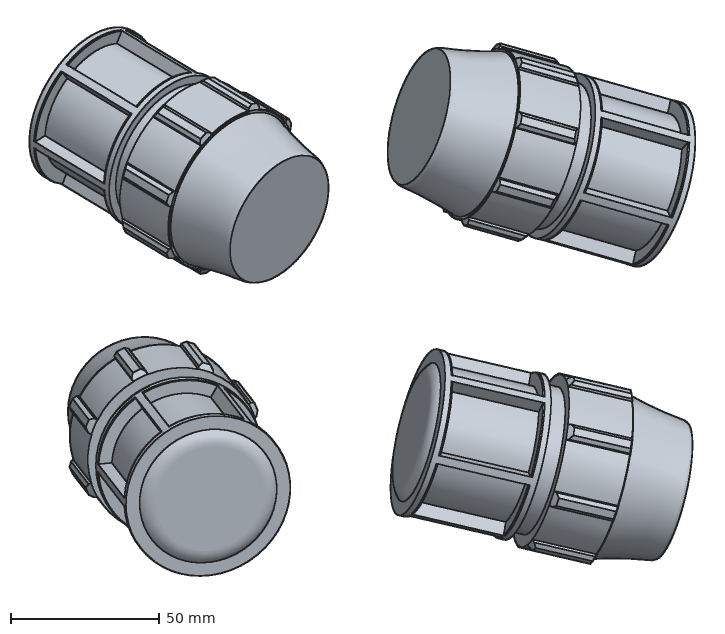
import cadquery as cq

LENGTH = 92.0

CAP_FACE_RADIUS = 18.95
BARREL_RADIUS = 24.0
FLANGE_RADIUS = 57.6 / 2
FLANGE_WIDTH = 2.8
BARREL_START = 2.2
BARREL_END = 39.9
FLANGE_CHAMFER_LENGTH = 0.55
FLANGE_CHAMFER_DEPTH = 0.2
NECK_RADIUS = 51.2 / 2
BARREL_RIB_COUNT = 6
BARREL_RIB_WIDTH = 2.9

NUT_START = 46.0
NUT_END = 69.0
NUT_RADIUS = 29.9
NUT_CHAMFER = 0.3
GRIP_RIB_COUNT = 8
GRIP_RIB_TOP_RADIUS = 32.0
GRIP_RIB_SHOULDER_RADIUS = 30.7
GRIP_RIB_TOP_WIDTH = 2.9
GRIP_RIB_WIDTH = 5.5
GRIP_RIB_FRONT_SLOPE = 1.8
GRIP_RIB_BACK_SLOPE = 0.8
GRIP_RIB_BASE_RADIUS = 30.0
GRIP_RIB_ROOT_RADIUS = 27.6
NOSE_START_RADIUS = 28.9
NOSE_END_RADIUS = 24.4
NOSE_HOLLOW = 0.5
NOSE_CHAMFER = 1.2
NOSE_CHAMFER_DEPTH = 0.55

CLEARANCE = 0.9

AXIS_START = (0, 0, 0)
AXIS_END = (1, 0, 0)


def spin(profile):
    """Revolve a closed (x, radius) profile around the X axis."""
    return profile.close().revolve(360, AXIS_START, AXIS_END)


def around_axis(feature, count, first_angle):
    """Copies of a feature evenly spaced around the X axis."""
    step = 360 / count
    return [feature.rotate(AXIS_START, AXIS_END, first_angle + i * step) for i in range(count)]


def make_body():
    """Domed cap, full-radius barrel out to the flange rims, and neck."""
    return spin(
        cq.Workplane("XY")
        .lineTo(0, CAP_FACE_RADIUS)
        .tangentArcPoint((BARREL_START, BARREL_RADIUS), relative=False)
        .lineTo(BARREL_START, FLANGE_RADIUS)
        .lineTo(BARREL_END, FLANGE_RADIUS)
        .lineTo(BARREL_END, NECK_RADIUS)
        .lineTo(NUT_END, NECK_RADIUS)
        .lineTo(NUT_END, 0)
    )


def make_barrel_pockets():
    """Ring between the flanges, with rim chamfers, split up by the ribs."""
    start = BARREL_START + FLANGE_WIDTH
    end = BARREL_END - FLANGE_WIDTH
    chamfer_start = FLANGE_RADIUS - FLANGE_CHAMFER_DEPTH
    clear_radius = FLANGE_RADIUS + CLEARANCE
    ring = spin(
        cq.Workplane("XY")
        .moveTo(start, BARREL_RADIUS)
        .lineTo(start, chamfer_start)
        .lineTo(start - FLANGE_CHAMFER_LENGTH, FLANGE_RADIUS)
        .lineTo(start - FLANGE_CHAMFER_LENGTH, clear_radius)
        .lineTo(end + FLANGE_CHAMFER_LENGTH, clear_radius)
        .lineTo(end + FLANGE_CHAMFER_LENGTH, FLANGE_RADIUS)
        .lineTo(end, chamfer_start)
        .lineTo(end, BARREL_RADIUS)
    )
    rib = cq.Workplane("XY").box(
        BARREL_END, 2 * clear_radius, BARREL_RIB_WIDTH, centered=(False, False, True)
    )
    for rib_copy in around_axis(rib, BARREL_RIB_COUNT, 0):
        ring = ring.cut(rib_copy)
    return ring


def make_nut():
    """Grip cylinder followed by the concave nose."""
    nose_end = LENGTH - NOSE_CHAMFER
    middle = (NUT_END + nose_end) / 2
    middle_radius = (NOSE_START_RADIUS + NOSE_END_RADIUS) / 2 - NOSE_HOLLOW
    return spin(
        cq.Workplane("XY")
        .moveTo(NUT_START, 0)
        .lineTo(NUT_START, NUT_RADIUS)
        .lineTo(NUT_END - NUT_CHAMFER, NUT_RADIUS)
        .lineTo(NUT_END, NUT_RADIUS - NUT_CHAMFER)
        .lineTo(NUT_END, NOSE_START_RADIUS)
        .threePointArc((middle, middle_radius), (nose_end, NOSE_END_RADIUS))
        .lineTo(LENGTH, NOSE_END_RADIUS - NOSE_CHAMFER_DEPTH)
        .lineTo(LENGTH, 0)
    )


def make_grip_ribs():
    """Chamfered bars along the nut, with conical slopes at both ends."""
    half_width = GRIP_RIB_WIDTH / 2
    half_top = GRIP_RIB_TOP_WIDTH / 2
    clear_radius = GRIP_RIB_TOP_RADIUS + CLEARANCE
    bar = (
        cq.Workplane("YZ")
        .workplane(offset=NUT_START)
        .polyline([
            (GRIP_RIB_ROOT_RADIUS, -half_width),
            (GRIP_RIB_SHOULDER_RADIUS, -half_width),
            (GRIP_RIB_TOP_RADIUS, -half_top),
            (GRIP_RIB_TOP_RADIUS, half_top),
            (GRIP_RIB_SHOULDER_RADIUS, half_width),
            (GRIP_RIB_ROOT_RADIUS, half_width),
        ])
        .close()
        .extrude(NUT_END - NUT_START)
    )
    envelope = spin(
        cq.Workplane("XY")
        .moveTo(NUT_START, 0)
        .lineTo(NUT_START, GRIP_RIB_BASE_RADIUS)
        .lineTo(NUT_START + GRIP_RIB_FRONT_SLOPE, GRIP_RIB_TOP_RADIUS)
        .lineTo(NUT_START + GRIP_RIB_FRONT_SLOPE, clear_radius)
        .lineTo(NUT_END - GRIP_RIB_BACK_SLOPE, clear_radius)
        .lineTo(NUT_END - GRIP_RIB_BACK_SLOPE, GRIP_RIB_TOP_RADIUS)
        .lineTo(NUT_END, GRIP_RIB_BASE_RADIUS)
        .lineTo(NUT_END, 0)
    )
    return around_axis(bar.intersect(envelope), GRIP_RIB_COUNT, 180 / GRIP_RIB_COUNT)


result = make_body().cut(make_barrel_pockets()).union(make_nut())
for grip_rib in make_grip_ribs():
    result = result.union(grip_rib)